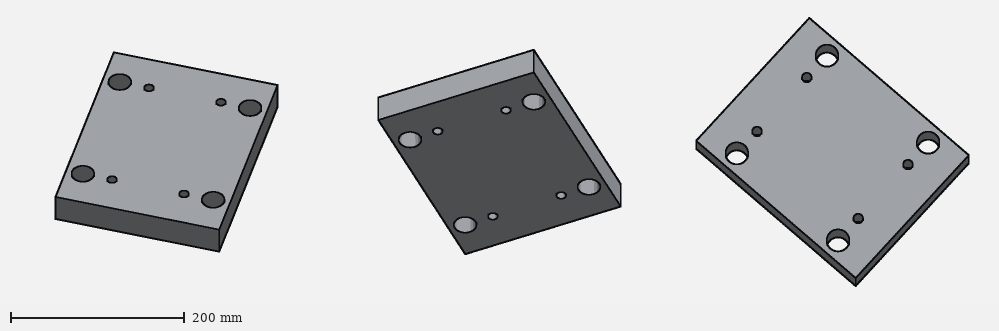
import cadquery as cq

width = 196.0
length = 246.0
thickness = 36.0

row_spacing = 156.0
large_hole_diameter = 26.0
large_hole_spacing = row_spacing
small_hole_diameter = 11.0
small_hole_spacing = 86.0


def drill_four(plate, diameter, column_spacing):
    """Drill one through hole at each corner of a centred rectangle."""
    return (
        plate.faces(">Z")
        .workplane(origin=(0, 0, 0))
        .rect(column_spacing, row_spacing, forConstruction=True)
        .vertices()
        .hole(diameter)
    )


plate = cq.Workplane("XY").box(width, length, thickness)
plate = drill_four(plate, large_hole_diameter, large_hole_spacing)
result = drill_four(plate, small_hole_diameter, small_hole_spacing)